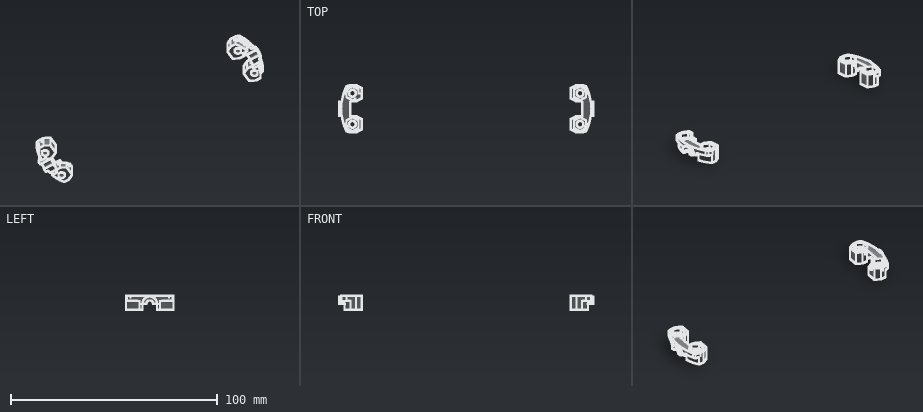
import cadquery as cq
import math

tip_x = 61.45
height = 7.0
top_z = height / 2
bottom_z = -top_z

screw_x = 55.05
boss_y = 7.5
boss_half_width = 3.995
flat_outer_x = screw_x + 1.05
flat_inner_x = screw_x - 1.65
boss_inner_reach = 4.5
boss_inner_x = screw_x - boss_inner_reach
inner_wall_half_width = 2.5
clamp_half_length = boss_y + boss_half_width

screw_diameter = 3.2
nut_across_flats = 6.0
nut_across_corners = nut_across_flats / math.cos(math.pi / 6)
nut_depth = 2.5

bridge_outer_x = 60.5
arch_end_x = 57.9
arch_end_y = 11.0
arch_rise = bridge_outer_x - arch_end_x
arch_radius = (arch_end_y**2 + arch_rise**2) / (2 * arch_rise)
bridge_thickness = 2.6
core_thickness = 4.0
core_half_length = 5.0

skirt_radius = 21.0
skirt_height = height - bridge_thickness

collar_radius = 3.5
channel_radius = 1.6
channel_z = top_z - core_thickness

notch_start = 1.5


def bridge():
    """Arched plate flush with the top, reaching over both bosses."""
    return (
        cq.Workplane("XY", origin=(0, 0, top_z - bridge_thickness))
        .moveTo(-flat_outer_x, -clamp_half_length)
        .lineTo(-arch_end_x, -arch_end_y)
        .threePointArc((-bridge_outer_x, 0), (-arch_end_x, arch_end_y))
        .lineTo(-flat_outer_x, clamp_half_length)
        .close()
        .extrude(bridge_thickness)
    )


def bridge_core():
    """Deeper middle stretch of the bridge, under the same arch."""
    end_x = arch_radius - bridge_outer_x - math.sqrt(arch_radius**2 - core_half_length**2)
    return (
        cq.Workplane("XY", origin=(0, 0, channel_z))
        .moveTo(-flat_outer_x, -core_half_length)
        .lineTo(end_x, -core_half_length)
        .threePointArc((-bridge_outer_x, 0), (end_x, core_half_length))
        .lineTo(-flat_outer_x, core_half_length)
        .close()
        .extrude(core_thickness)
    )


def boss(y):
    """Full-height inner part of a boss."""
    outline = [
        (-flat_outer_x, y - boss_half_width),
        (-flat_inner_x, y - boss_half_width),
        (-boss_inner_x, y - inner_wall_half_width),
        (-boss_inner_x, y + inner_wall_half_width),
        (-flat_inner_x, y + boss_half_width),
        (-flat_outer_x, y + boss_half_width),
    ]
    return cq.Workplane("XY", origin=(0, 0, bottom_z)).polyline(outline).close().extrude(height)


def skirt_x(y):
    """X of the arched skirt, which meets the side flats of the bosses at their outer ends."""
    center_x = math.sqrt(skirt_radius**2 - clamp_half_length**2) - flat_outer_x
    return center_x - math.sqrt(skirt_radius**2 - y**2)


def skirt(side):
    """Lower outer part of a boss, arched on the outside and square to the middle gap."""
    return (
        cq.Workplane("XY", origin=(0, 0, bottom_z))
        .moveTo(-flat_outer_x, side * core_half_length)
        .lineTo(skirt_x(core_half_length), side * core_half_length)
        .threePointArc((skirt_x(boss_y), side * boss_y), (-flat_outer_x, side * clamp_half_length))
        .close()
        .extrude(skirt_height)
    )


def collar():
    """Half-round collar on the outside of the bridge, over the cable channel."""
    return (
        cq.Workplane("YZ", origin=(-tip_x, 0, channel_z))
        .moveTo(-collar_radius, 0)
        .threePointArc((0, collar_radius), (collar_radius, 0))
        .close()
        .extrude(tip_x - flat_outer_x)
    )


def channel():
    """Round cable channel running along X through the bridge and the collar."""
    return (
        cq.Workplane("YZ", origin=(-tip_x, 0, channel_z))
        .circle(channel_radius)
        .extrude(tip_x - flat_outer_x)
    )


def screw_seat(y):
    """Through hole with a nut pocket that has corners facing +Y and -Y."""
    pocket = (
        cq.Workplane("XY", origin=(-screw_x, y, top_z - nut_depth))
        .transformed(rotate=(0, 0, 90))
        .polygon(6, nut_across_corners)
        .extrude(nut_depth)
    )
    hole = (
        cq.Workplane("XY", origin=(-screw_x, y, bottom_z))
        .circle(screw_diameter / 2)
        .extrude(height)
    )
    return pocket.union(hole)


def pocket_notch():
    """Opening from one nut pocket through the inner side of its boss."""
    return (
        cq.Workplane("XY", origin=(notch_start - screw_x, boss_y - boss_half_width, top_z - nut_depth))
        .box(boss_inner_reach - notch_start, boss_half_width, nut_depth, centered=False)
    )


def clamp():
    """Clamp at the -X end."""
    body = bridge().union(bridge_core()).union(collar())
    for side in (-1, 1):
        body = body.union(boss(side * boss_y)).union(skirt(side))
        body = body.cut(screw_seat(side * boss_y))
    return body.cut(channel())


left_clamp = clamp().cut(pocket_notch())
right_clamp = clamp().mirror("YZ")

result = cq.Compound.makeCompound([left_clamp.val(), right_clamp.val()])